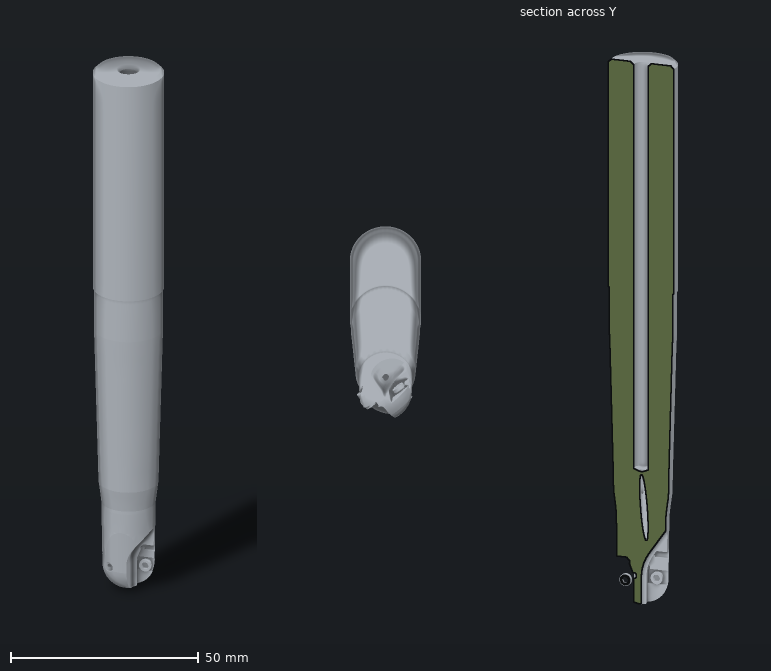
import cadquery as cq
import math


LENGTH = 151.5
SHANK_R = 9.5
SHANK_CHAMFER = 0.9
SHANK_BOTTOM_Z = 87.7
COLLAR_R = 9.2
COLLAR_BOTTOM_Z = 75.6
TAPER_END_R = 8.0
TAPER_END_Z = 30.9
NECK_R = 7.3
NECK_BAND_TOP_Z = 25.0
NECK_TOP_Z = 24.1
BALL_R = 7.0

BORE_R = 2.3
BORE_MOUTH_R = 3.2
BORE_BOTTOM_Z = 37.9
DRILL_CONE_HEIGHT = 1.2
BRANCH_R = 0.9
BRANCH_OUTLET_Y = -2.4

RELIEF_R = 7.9
RELIEF_OFFSET = 1.4
RELIEF_TILT = 3.2

GULLET_FLOOR_Y = -0.2
GULLET_FILLET = 1.0

POCKET_FLOOR_Y = 1.4
SLOT_FLOOR_Y = 2.3
POCKET_WALL_GAP = 0.8
KNEE_LEAN = 0.4
KEY_SLOT_HEIGHT = 2.3
SCREW_SLOT_HEIGHT = 4.1
CORNER_RELIEF_R = 0.8

HEAD_R = 1.7
HEAD_TOP_Y = 0.2
HEAD_BOTTOM_Y = 1.0
SCREW_R = 1.4
SCREW_END_Y = 4.8
SOCKET_R = 1.0
END_SOCKET_R = 0.6
SOCKET_DEPTH = 1.0

CUT_SPAN = 12.1
HALF_TURN = 180

SIDES = [
    dict(turn=0, wall_x=1.4, arc_z=8.8, arc_r=7.4, slope=49, pocket_top=12.7, pocket_knee=7.9,
         screw_x=4.5, screw_z=6.4, outlet_z=12.1),
    dict(turn=HALF_TURN, wall_x=0.2, arc_z=7.5, arc_r=12.1, slope=55, pocket_top=15.2, pocket_knee=9.8,
         screw_x=4.0, screw_z=7.4, outlet_z=13.8),
]


def turned(shape, turn):
    """Rotate a shape about the tool axis."""
    return shape.rotate((0, 0, 0), (0, 0, 1), turn)


def prism(points, start_y, end_y):
    """Extrude an (x, z) outline between two y positions."""
    plane = cq.Workplane("XZ", origin=(0, start_y, 0))
    return plane.polyline(points).close().extrude(start_y - end_y)


def rod(x, z, radius, start_y, end_y):
    """Cylinder along Y between two y positions."""
    return cq.Workplane("XZ", origin=(x, start_y, z)).circle(radius).extrude(start_y - end_y)


def slot_outline(x_start, z_bottom, z_top):
    return [(x_start, z_bottom), (CUT_SPAN, z_bottom), (CUT_SPAN, z_top), (x_start, z_top)]


def turned_blank():
    """Shank, collar, taper, neck and ball tip, as one revolved profile."""
    ball_mid = BALL_R * math.sqrt(0.5)
    return (
        cq.Workplane("XZ")
        .moveTo(0, 0)
        .threePointArc((-ball_mid, BALL_R - ball_mid), (-BALL_R, BALL_R))
        .lineTo(-NECK_R, NECK_TOP_Z)
        .lineTo(-NECK_R, NECK_BAND_TOP_Z)
        .lineTo(-TAPER_END_R, TAPER_END_Z)
        .lineTo(-COLLAR_R, COLLAR_BOTTOM_Z)
        .lineTo(-COLLAR_R, SHANK_BOTTOM_Z)
        .lineTo(-SHANK_R, SHANK_BOTTOM_Z)
        .lineTo(-SHANK_R, LENGTH - SHANK_CHAMFER)
        .lineTo(-SHANK_R + SHANK_CHAMFER, LENGTH)
        .lineTo(0, LENGTH)
        .close()
        .revolve(360, (0, 0), (0, 1))
    )


def coolant_bore():
    """Blind bore from the shank end, with a chamfered mouth and a drill-point bottom."""
    return (
        cq.Workplane("XZ")
        .polyline([
            (0, BORE_BOTTOM_Z - DRILL_CONE_HEIGHT),
            (BORE_R, BORE_BOTTOM_Z),
            (BORE_R, LENGTH - (BORE_MOUTH_R - BORE_R)),
            (BORE_MOUTH_R, LENGTH),
            (0, LENGTH),
        ])
        .close()
        .revolve(360, (0, 0), (0, 1))
    )


def coolant_branch(side):
    """Slanted hole from the bottom of the bore to the curved gullet wall."""
    start = cq.Vector(0, 0, BORE_BOTTOM_Z)
    rise = side["outlet_z"] - side["arc_z"]
    outlet_x = side["wall_x"] + side["arc_r"] - math.sqrt(side["arc_r"] ** 2 - rise ** 2)
    path = cq.Vector(outlet_x, BRANCH_OUTLET_Y, side["outlet_z"]) - start
    overrun = BRANCH_R
    return cq.Workplane(cq.Solid.makeCylinder(BRANCH_R, path.Length + overrun, start, path))


def relief_cutter():
    """Material outside the tilted envelope, on the side that faces -Y."""
    centre = (0, RELIEF_OFFSET, BALL_R)
    envelope = cq.Workplane("XY", origin=centre).circle(RELIEF_R).extrude(4 * BALL_R)
    envelope = envelope.union(cq.Workplane("XY", origin=centre).sphere(RELIEF_R))
    envelope = envelope.rotate(centre, (1, RELIEF_OFFSET, BALL_R), RELIEF_TILT)
    block = cq.Workplane("XY").box(
        2 * CUT_SPAN, CUT_SPAN, NECK_TOP_Z, centered=(True, False, False)
    ).translate((0, -CUT_SPAN, 0))
    return block.cut(envelope)


def gullet(side):
    """Chip space in front of the insert, rounded where its wall meets the floor."""
    wall_x, arc_z, arc_r = side["wall_x"], side["arc_z"], side["arc_r"]
    slope = math.radians(side["slope"])
    turn_angle = math.pi / 2 - slope

    def arc_point(angle):
        return (wall_x + arc_r * (1 - math.cos(angle)), arc_z + arc_r * math.sin(angle))

    arc_end = arc_point(turn_angle)
    run_out_z = arc_end[1] + (CUT_SPAN - arc_end[0]) * math.tan(slope)
    return (
        cq.Workplane("XZ", origin=(0, GULLET_FLOOR_Y, 0))
        .moveTo(wall_x, -BALL_R)
        .lineTo(wall_x, arc_z)
        .threePointArc(arc_point(turn_angle / 2), arc_end)
        .lineTo(CUT_SPAN, run_out_z)
        .lineTo(CUT_SPAN, -BALL_R)
        .close()
        .extrude(CUT_SPAN)
        .faces(">Y")
        .edges("not (>X or <Z)")
        .fillet(GULLET_FILLET)
    )


def insert_pocket(side):
    """Insert seat with a key slot along its top, a slot under the screw and two corner reliefs."""
    wall_x = side["wall_x"] + POCKET_WALL_GAP
    top, knee = side["pocket_top"], side["pocket_knee"]
    key_slot_bottom = top - KEY_SLOT_HEIGHT
    corner_x = wall_x + (top - knee) * KNEE_LEAN
    seat = prism(
        [(wall_x, -BALL_R), (wall_x, knee), (corner_x, top), (CUT_SPAN, top), (CUT_SPAN, -BALL_R)],
        POCKET_FLOOR_Y, GULLET_FLOOR_Y,
    )
    key_slot = prism(slot_outline(corner_x, key_slot_bottom, top), SLOT_FLOOR_Y, GULLET_FLOOR_Y)
    half_slot = SCREW_SLOT_HEIGHT / 2
    screw_slot = prism(
        slot_outline(wall_x, side["screw_z"] - half_slot, side["screw_z"] + half_slot),
        SLOT_FLOOR_Y, GULLET_FLOOR_Y,
    )
    pocket = seat.union(key_slot).union(screw_slot)
    relief_places = [(wall_x, knee), (corner_x, top - KEY_SLOT_HEIGHT / 2)]
    for x, z in relief_places:
        pocket = pocket.union(rod(x, z, CORNER_RELIEF_R, SLOT_FLOOR_Y, GULLET_FLOOR_Y))
    return pocket


def screw_hole(side):
    """Hole from the pocket right through to the relief surface behind it."""
    return rod(side["screw_x"], side["screw_z"], SCREW_R, CUT_SPAN, SLOT_FLOOR_Y)


def make_body():
    body = turned_blank().cut(coolant_bore())
    for side in SIDES:
        for cutter in (relief_cutter(), gullet(side), insert_pocket(side),
                       screw_hole(side), coolant_branch(side)):
            body = body.cut(turned(cutter, side["turn"]))
    return body


def make_screw(side):
    """Cylindrical-head screw with a hexagon socket in each end, its head standing above the slot floor."""
    x, z = side["screw_x"], side["screw_z"]
    head = rod(x, z, HEAD_R, HEAD_BOTTOM_Y, HEAD_TOP_Y)
    shank = rod(x, z, SCREW_R, SCREW_END_Y, HEAD_BOTTOM_Y)
    screw = head.union(shank)
    sockets = [(HEAD_TOP_Y, SOCKET_R, -SOCKET_DEPTH), (SCREW_END_Y, END_SOCKET_R, SOCKET_DEPTH)]
    for face_y, radius, depth in sockets:
        plane = cq.Workplane("XZ", origin=(x, face_y, z))
        screw = screw.cut(plane.polygon(6, 2 * radius).extrude(depth))
    return turned(screw, side["turn"])


cutter_body = make_body()
screws = [make_screw(side) for side in SIDES]

result = cq.Compound.makeCompound([cutter_body.val(), *[screw.val() for screw in screws]])